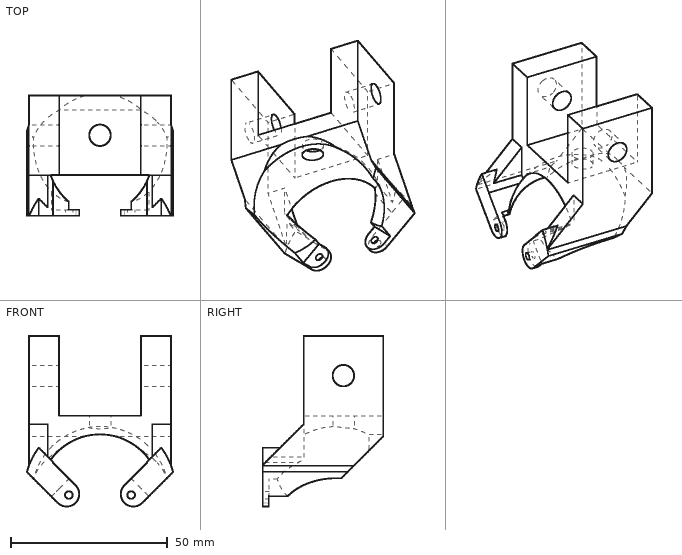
import cadquery as cq
import math

body_width = 45.3
body_depth = 25.4
slot_width = 26.1
slot_depth = 25.4
bore_diameter = 6.76

slot_floor = 24.65
top = slot_floor + slot_depth
back = body_depth / 2
body_front = -body_depth / 2

socket_radius = 21.95
socket_y = -2.3
socket_z = -0.7
socket_mouth_radius = math.sqrt(socket_radius**2 - (body_front - socket_y) ** 2)

jaw_reach = 13.0
jaw_width = 8.0
jaw_axis_offset = 7.75
jaw_outer_radius = 24.25
jaw_end = -10.25
shoulder_height = 0.15
shoulder_end = -17.5
jaw_front = body_front - jaw_reach
front_slope_drop = 28.2
back_slope_drop = 32.0
cheek_thickness = 6.0

ear_thickness = 2.0
ear_center = -7.23
pin_diameter = 2.35
pin_along = -6.54
pin_across = -7.49

beyond = 2 * top
diagonal = math.sqrt(0.5)
jaw_outer_line = -jaw_axis_offset - jaw_width / 2
jaw_inner_line = -jaw_axis_offset + jaw_width / 2


def left_jaw_point(along, across):
    """XZ point from distances along and across the left jaw; along runs inward and down."""
    return ((along + across) * diagonal, (across - along) * diagonal)


def extrude_in_y(points, y_front, y_back):
    """Prism on an XZ outline between two Y positions."""
    plane = cq.Workplane("XZ", origin=(0, y_back, 0))
    return plane.polyline(points).close().extrude(y_back - y_front)


def cylinder_in_y(center, radius, y_front, y_back):
    plane = cq.Workplane("XZ", origin=(0, y_back, 0))
    return plane.center(*center).circle(radius).extrude(y_back - y_front)


def jaw_strip(along_start, along_end, inner_line, y_front, y_back):
    corners = [
        left_jaw_point(along_start, jaw_outer_line),
        left_jaw_point(along_end, jaw_outer_line),
        left_jaw_point(along_end, inner_line),
        left_jaw_point(along_start, inner_line),
    ]
    return extrude_in_y(corners, y_front, y_back)


def make_left_jaw():
    """Plank with a slightly raised shoulder, its outer end rounded by a cylinder about the Y axis."""
    strip = jaw_strip(-jaw_outer_radius, jaw_end, jaw_inner_line, jaw_front, back)
    shoulder_line = jaw_inner_line + shoulder_height
    strip = strip.union(jaw_strip(-jaw_outer_radius, shoulder_end, shoulder_line, jaw_front, back))
    return strip.intersect(cylinder_in_y((0, 0), jaw_outer_radius, jaw_front, back))


def make_left_ear():
    y_back = jaw_front + ear_thickness
    strip = jaw_strip(jaw_end, ear_center, jaw_inner_line, jaw_front, y_back)
    tip_center = left_jaw_point(ear_center, -jaw_axis_offset)
    tip = cylinder_in_y(tip_center, jaw_width / 2, jaw_front, y_back)
    return strip.union(tip)


def make_left_body():
    """Left half of the fork, with the cheek that slopes forward onto the jaw."""
    half_width = body_width / 2
    foot_middle = jaw_outer_line / diagonal
    outline = [
        (-half_width, top),
        (-slot_width / 2, top),
        (-slot_width / 2, slot_floor),
        (0, slot_floor),
        (0, foot_middle),
        (-half_width, foot_middle + half_width),
    ]
    fork = extrude_in_y(outline, body_front, back)
    slope_start = top - front_slope_drop
    cheek_side = [
        (body_front, slope_start),
        (jaw_front, slope_start - jaw_reach),
        (jaw_front, 0),
        (body_front, 0),
    ]
    cheek_plane = cq.Workplane("YZ", origin=(-half_width, 0, 0))
    cheek = cheek_plane.polyline(cheek_side).close().extrude(cheek_thickness)
    above_jaw = extrude_in_y(
        [
            left_jaw_point(-beyond, jaw_outer_line),
            left_jaw_point(0, jaw_outer_line),
            left_jaw_point(0, beyond),
            left_jaw_point(-beyond, beyond),
        ],
        jaw_front,
        back,
    )
    return fork.union(cheek.intersect(above_jaw))


def back_slope_cutter():
    """Everything behind and below the 45 degree slope at the back."""
    slope_top = top - back_slope_drop
    side = [(back, slope_top), (back - beyond, slope_top - beyond), (back, slope_top - beyond)]
    return cq.Workplane("YZ").polyline(side).close().extrude(body_width, both=True)


def make_socket():
    ball = cq.Workplane("XY", origin=(0, socket_y, socket_z)).sphere(socket_radius)
    return ball.union(cylinder_in_y((0, socket_z), socket_mouth_radius, socket_y, back))


def make_bores():
    """One vertical bore through the bridge and one bore across both walls."""
    bridge_bore = cq.Workplane("XY").circle(bore_diameter / 2).extrude(top)
    wall_bore_height = top - slot_depth / 2
    wall_bore = cq.Workplane("YZ", origin=(0, 0, wall_bore_height)).circle(bore_diameter / 2)
    return bridge_bore.union(wall_bore.extrude(body_width, both=True))


def make_left_pin_hole():
    center = left_jaw_point(pin_along, pin_across)
    return cylinder_in_y(center, pin_diameter / 2, jaw_front, jaw_front + ear_thickness)


left_half = make_left_body().union(make_left_jaw()).cut(back_slope_cutter())
left_ear = make_left_ear().cut(make_left_pin_hole())

result = left_half.union(left_half.mirror("YZ"))
result = result.cut(make_socket())
result = result.union(left_ear).union(left_ear.mirror("YZ"))
result = result.cut(make_bores())